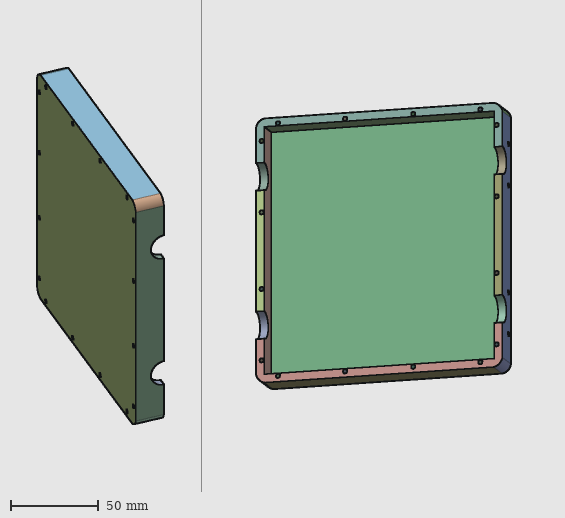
import cadquery as cq

width = 147.0
depth = 17.5
height = 155.0
corner_setback = 5.3
corner_radius = 6.5
wall = 5.0
floor = 3.0
front_y = -depth / 2
back_y = depth / 2

hole_diameter = 2.5
edge_inset = 3.4
row_offsets = (20.3, 60.3)
column_offsets = (22.5, 64.3)

notch_radius = 8.0
notch_offset = 43.5

side_hole_spacing = 24.5
side_hole_inset = 5.1


def rounded_tray():
    """Rounded rectangular block hollowed out from the +Y side."""
    x, z = width / 2, height / 2
    flat_x, flat_z = x - corner_setback, z - corner_setback
    block = (
        cq.Workplane("XZ", origin=(0, back_y, 0))
        .moveTo(-flat_x, z)
        .lineTo(flat_x, z)
        .radiusArc((x, flat_z), corner_radius)
        .lineTo(x, -flat_z)
        .radiusArc((flat_x, -z), corner_radius)
        .lineTo(-flat_x, -z)
        .radiusArc((-x, -flat_z), corner_radius)
        .lineTo(-x, flat_z)
        .radiusArc((-flat_x, z), corner_radius)
        .close()
        .extrude(depth)
    )
    cavity = cq.Workplane("XY").box(width - 2 * wall, depth, height - 2 * wall)
    return block.cut(cavity.translate((0, floor, 0)))


def rim_holes():
    """Screw holes along all four edges, mirrored about the center."""
    row_x = width / 2 - edge_inset
    row_z = height / 2 - edge_inset
    points = []
    for side in (-1, 1):
        for direction in (-1, 1):
            points += [(direction * x, side * row_z) for x in row_offsets]
            points += [(side * row_x, direction * z) for z in column_offsets]
    return (
        cq.Workplane("XZ", origin=(0, back_y, 0))
        .pushPoints(points)
        .circle(hole_diameter / 2)
        .extrude(depth)
    )


def notches():
    """Cylinders along X, centered on the open edge."""
    return (
        cq.Workplane("YZ")
        .pushPoints([(back_y, -notch_offset), (back_y, notch_offset)])
        .circle(notch_radius)
        .extrude(width / 2, both=True)
    )


def side_holes():
    """Holes that pass through the -X wall into the cavity."""
    points = [
        (front_y + side_hole_inset, side * notch_offset + direction * side_hole_spacing / 2)
        for side in (-1, 1)
        for direction in (-1, 1)
    ]
    return (
        cq.Workplane("YZ", origin=(-width / 2, 0, 0))
        .pushPoints(points)
        .circle(hole_diameter / 2)
        .extrude(wall)
    )


result = rounded_tray().cut(rim_holes()).cut(notches()).cut(side_holes())